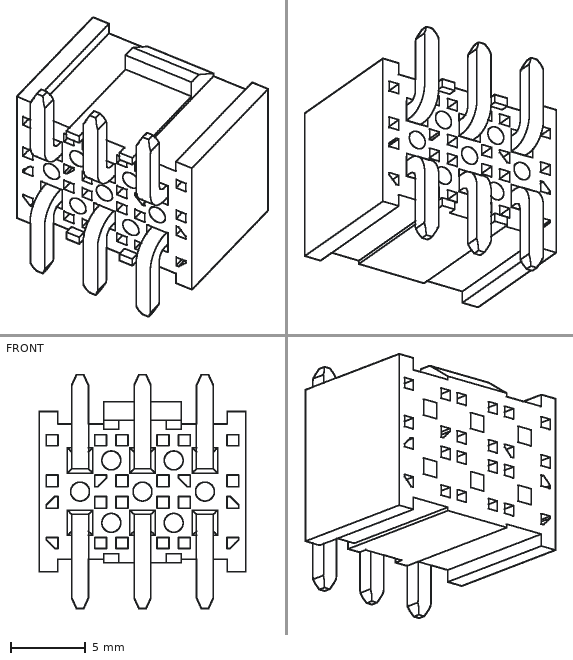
import cadquery as cq
import math


PITCH = 4.2
COLUMNS_X = (-PITCH, 0, PITCH)
ROW_Z = PITCH / 2
SIDES = (-1, 1)

PIN_SIZE = 1.14
BEND_INNER_RADIUS = 0.64
BEND_OUTER_RADIUS = BEND_INNER_RADIUS + PIN_SIZE
BEND_CENTRE_Z = ROW_Z + PIN_SIZE / 2 + BEND_INNER_RADIUS
PIN_END_Z = 15.75 / 2
TIP_SIDE_LENGTH = 0.72
TIP_SIDE_INSET = 0.33
TIP_FACE_LENGTH = 0.9
TIP_FACE_INSET = 0.3
TIP_KNEE_LENGTH = 0.42
TIP_KNEE_INSET = 0.1

HOUSING_DEPTH = 9.65
HOUSING_WIDTH = 13.91
FLANGE_WIDTH = 1.27
FLANGE_HEIGHT = 10.8
BODY_HEIGHT = 9.1

STRIP_WIDTH = 5.24
STRIP_HALF_HEIGHT = 4.79
LATCH_TOP_Z = 6.05
LATCH_BACK_Y = 6.85
LATCH_CREST_LENGTH = 0.93
FOOT_WIDTH = 1.02
FOOT_HEIGHT = 0.6
FOOT_LENGTH = BEND_INNER_RADIUS

WINDOW_WIDTH = 0.78
WINDOW_INSET = 0.99
OUTER_WINDOW_INSET = 1.49
INNER_ROW_HEIGHT = 0.78
OUTER_ROW_HEIGHT = 0.73
WINDOW_CORNER_CUT = 0.58
CORE_HOLE_DIAMETER = 1.27
CORE_HOLE_DEPTH = 5.0
RECESS_SIZE = 1.7
RECESS_DEPTH = 0.5


def box(x_range, y_range, z_range):
    """Box spanning the given (low, high) ranges."""
    low, high = zip(x_range, y_range, z_range)
    size = [b - a for a, b in zip(low, high)]
    return cq.Workplane("XY").box(*size, centered=False).translate(low)


def make_block():
    """H-shaped block with a raised strip along the middle of its top and bottom."""
    depth = (0, HOUSING_DEPTH)
    block = box((-HOUSING_WIDTH / 2, HOUSING_WIDTH / 2), depth, (-BODY_HEIGHT / 2, BODY_HEIGHT / 2))
    flange_centre_x = (HOUSING_WIDTH - FLANGE_WIDTH) / 2
    for side in SIDES:
        flange = cq.Workplane("XY").box(
            FLANGE_WIDTH, HOUSING_DEPTH, FLANGE_HEIGHT, centered=(True, False, True)
        )
        block = block.union(flange.translate((side * flange_centre_x, 0, 0)))
    strip = box(
        (-STRIP_WIDTH / 2, STRIP_WIDTH / 2), depth, (-STRIP_HALF_HEIGHT, STRIP_HALF_HEIGHT)
    )
    return block.union(strip)


def make_latch():
    """Wedge on the top strip, ramping up from the mating face."""
    crest_y = LATCH_BACK_Y + LATCH_CREST_LENGTH
    root_z = BODY_HEIGHT / 2
    return (
        cq.Workplane("YZ")
        .moveTo(LATCH_BACK_Y, root_z)
        .lineTo(LATCH_BACK_Y, LATCH_TOP_Z)
        .lineTo(crest_y, LATCH_TOP_Z)
        .lineTo(HOUSING_DEPTH, STRIP_HALF_HEIGHT)
        .lineTo(HOUSING_DEPTH, root_z)
        .close()
        .extrude(STRIP_WIDTH / 2, both=True)
    )


def make_foot(side_x, side_z):
    """Standoff foot at one corner of the strip, rooted in the pin-side face."""
    foot = cq.Workplane("XY").box(FOOT_WIDTH, 2 * FOOT_LENGTH, FOOT_HEIGHT)
    centre_x = side_x * (STRIP_WIDTH - FOOT_WIDTH) / 2
    centre_z = side_z * (STRIP_HALF_HEIGHT - FOOT_HEIGHT / 2)
    return foot.translate((centre_x, 0, centre_z))


def make_window(centre_x, centre_z, height, cut_corner=None):
    """Through window; cut_corner gives the (x, z) signs of a corner left solid on a diagonal."""
    window = cq.Workplane("XY").box(
        WINDOW_WIDTH, HOUSING_DEPTH, height, centered=(True, False, True)
    )
    if cut_corner:
        x_end = ">X" if cut_corner[0] > 0 else "<X"
        z_end = ">Z" if cut_corner[1] > 0 else "<Z"
        window = window.edges(f"{x_end} and {z_end}").chamfer(WINDOW_CORNER_CUT)
    return window.translate((centre_x, 0, centre_z))


def make_windows():
    """Four windows around each pin, one per corner; a few have one corner left solid."""
    half_width = WINDOW_WIDTH / 2
    middle_x = WINDOW_INSET + half_width
    inner_x = PITCH - WINDOW_INSET - half_width
    outer_x = PITCH + OUTER_WINDOW_INSET + half_width
    inner_z = ROW_Z - WINDOW_INSET - INNER_ROW_HEIGHT / 2
    outer_z = ROW_Z + WINDOW_INSET + OUTER_ROW_HEIGHT / 2
    windows = []
    for side in SIDES:
        for x in (middle_x, inner_x, outer_x):
            upper_cut = (-side, -1) if x == inner_x else None
            lower_inner_cut = (side, 1) if x == outer_x else None
            lower_outer_cut = (side, -1) if x == outer_x else None
            windows += [
                make_window(side * x, outer_z, OUTER_ROW_HEIGHT),
                make_window(side * x, inner_z, INNER_ROW_HEIGHT, upper_cut),
                make_window(side * x, -inner_z, INNER_ROW_HEIGHT, lower_inner_cut),
                make_window(side * x, -outer_z, OUTER_ROW_HEIGHT, lower_outer_cut),
            ]
    return windows


def make_core_holes():
    """Round blind holes between the pins, in three staggered rows."""
    between_x = PITCH / 2
    centres = [(x, 0) for x in COLUMNS_X]
    centres += [(sx * between_x, sz * ROW_Z) for sx in SIDES for sz in SIDES]
    hole = cq.Solid.makeCylinder(
        CORE_HOLE_DIAMETER / 2, CORE_HOLE_DEPTH, cq.Vector(0, 0, 0), cq.Vector(0, 1, 0)
    )
    return [hole.translate(cq.Vector(x, 0, z)) for x, z in centres]


def make_pin_passage(x, z):
    """Square passage for one pin, with a funnel-shaped recess at the pin-side face."""
    passage = cq.Workplane("XY").box(
        PIN_SIZE, HOUSING_DEPTH, PIN_SIZE, centered=(True, False, True)
    )
    recess = (
        cq.Workplane("XZ")
        .rect(RECESS_SIZE, RECESS_SIZE)
        .workplane(offset=-RECESS_DEPTH)
        .rect(PIN_SIZE, PIN_SIZE)
        .loft()
    )
    return passage.union(recess).translate((x, 0, z))


def make_housing():
    housing = make_block().union(make_latch())
    for side_x in SIDES:
        for side_z in SIDES:
            housing = housing.union(make_foot(side_x, side_z))
    for opening in make_windows() + make_core_holes():
        housing = housing.cut(opening)
    for x in COLUMNS_X:
        for side in SIDES:
            housing = housing.cut(make_pin_passage(x, side * ROW_Z))
    return housing


def make_pin():
    """Upper-row pin on X = 0: straight through the housing, then bent up to a tapered tip."""
    half = PIN_SIZE / 2
    diagonal = math.sin(math.radians(45))
    outer_mid = BEND_OUTER_RADIUS * diagonal
    inner_mid = BEND_INNER_RADIUS * diagonal
    front_y = -BEND_OUTER_RADIUS
    back_y = -BEND_INNER_RADIUS
    taper_z = PIN_END_Z - TIP_FACE_LENGTH
    knee_z = PIN_END_Z - TIP_KNEE_LENGTH

    side_shape = (
        cq.Workplane("YZ")
        .moveTo(HOUSING_DEPTH, ROW_Z - half)
        .lineTo(0, ROW_Z - half)
        .threePointArc((-outer_mid, BEND_CENTRE_Z - outer_mid), (front_y, BEND_CENTRE_Z))
        .lineTo(front_y, taper_z)
        .lineTo(front_y + TIP_KNEE_INSET, knee_z)
        .lineTo(front_y + TIP_FACE_INSET, PIN_END_Z)
        .lineTo(back_y - TIP_FACE_INSET, PIN_END_Z)
        .lineTo(back_y - TIP_KNEE_INSET, knee_z)
        .lineTo(back_y, taper_z)
        .lineTo(back_y, BEND_CENTRE_Z)
        .threePointArc((-inner_mid, BEND_CENTRE_Z - inner_mid), (0, ROW_Z + half))
        .lineTo(HOUSING_DEPTH, ROW_Z + half)
        .close()
        .extrude(half, both=True)
    )
    shoulder_z = PIN_END_Z - TIP_SIDE_LENGTH
    front_shape = (
        cq.Workplane("XZ")
        .moveTo(-half, 0)
        .lineTo(half, 0)
        .lineTo(half, shoulder_z)
        .lineTo(half - TIP_SIDE_INSET, PIN_END_Z)
        .lineTo(-half + TIP_SIDE_INSET, PIN_END_Z)
        .lineTo(-half, shoulder_z)
        .close()
        .extrude(HOUSING_DEPTH + BEND_OUTER_RADIUS, both=True)
    )
    return side_shape.intersect(front_shape)


housing = make_housing()

upper_pin = make_pin()
lower_pin = upper_pin.mirror("XY")
pins = []
for x in COLUMNS_X:
    for pin in (upper_pin, lower_pin):
        pins.append(pin.translate((x, 0, 0)).val())

result = cq.Compound.makeCompound([housing.val(), *pins])